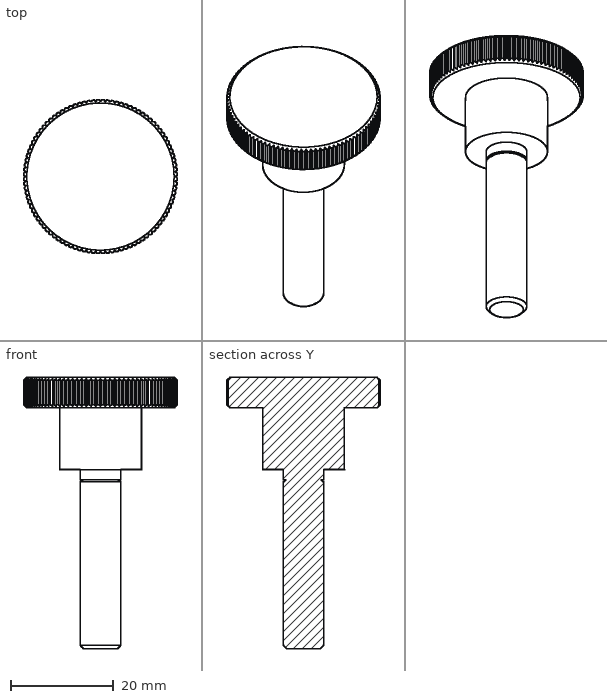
import cadquery as cq
import math

total_length = 53.0
head_radius = 15.0
head_height = 6.0
head_chamfer = 0.65
hub_radius = 8.0
hub_height = 12.05
shank_radius = 4.0
tip_chamfer = 0.7

groove_offset = 2.0
groove_width = 0.35
groove_depth = 0.55

knurl_count = 100
knurl_depth = 0.3
knurl_half_width = 0.275

head_bottom = total_length - head_height
hub_bottom = head_bottom - hub_height
groove_top = hub_bottom - groove_offset
groove_bottom = groove_top - groove_width


def make_cylinder(radius, bottom, height):
    return cq.Workplane("XY").workplane(offset=bottom).circle(radius).extrude(height)


def make_head():
    """Disc with both rims chamfered."""
    disc = make_cylinder(head_radius, head_bottom, head_height)
    return disc.edges("%CIRCLE").chamfer(head_chamfer)


def make_shank():
    """Shank with a chamfered tip."""
    return make_cylinder(shank_radius, 0, hub_bottom).faces("<Z").edges().chamfer(tip_chamfer)


def make_neck_groove():
    """Ring with a square upper shoulder and a sloping lower side."""
    root_radius = shank_radius - groove_depth
    return (
        cq.Workplane("XZ")
        .moveTo(shank_radius, groove_bottom)
        .lineTo(root_radius, groove_top)
        .lineTo(shank_radius, groove_top)
        .close()
        .revolve(360, (0, 0, 0), (0, 1, 0))
    )


def cut_knurl(head):
    """Cut V grooves along the rim; one faces +X."""
    pitch_angle = 2 * math.pi / knurl_count
    half_angle = knurl_half_width / head_radius
    root_radius = head_radius - knurl_depth
    mouth_radius = head_radius + knurl_depth
    half_mouth = half_angle * (mouth_radius - root_radius) / knurl_depth

    def polar(radius, angle):
        return (radius * math.cos(angle), radius * math.sin(angle))

    cutters = cq.Workplane("XY").workplane(offset=head_bottom)
    for index in range(knurl_count):
        angle = index * pitch_angle
        cutters = cutters.polyline([
            polar(root_radius, angle),
            polar(mouth_radius, angle - half_mouth),
            polar(mouth_radius, angle + half_mouth),
        ]).close()
    return head.cut(cutters.extrude(head_height))


hub = make_cylinder(hub_radius, hub_bottom, hub_height)
shank = make_shank().cut(make_neck_groove())
result = cut_knurl(make_head()).union(hub).union(shank)